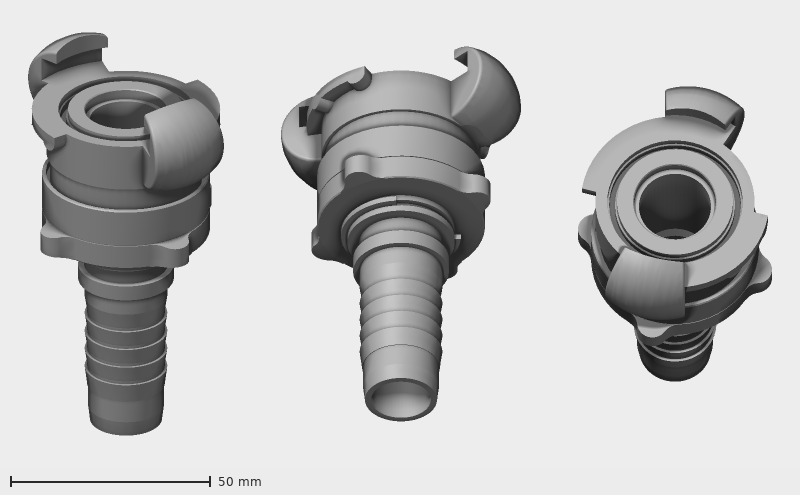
import cadquery as cq
import math


total_height = 99.1
head_face = 88.2
flange_underside = 85.2
head_bottom = 76.0
collar_top = 70.3
collar_bottom = 60.6
nut_top = 60.3
nut_bottom = 54.0
clip_groove_top = 52.5
clip_groove_bottom = 50.8
tail_flange_bottom = 49.1
stop_top = 44.1
stop_bottom = 40.1
barbs_top = 35.2
plain_end_top = 10.0
tip_top = 4.1

head_radius = 19.9
neck_radius = 38.0 / 2
collar_radius = 21.0
collar_joint_radius = 20.7
collar_recess_radius = 20.0
collar_recess_depth = 2.0
edge_chamfer = 0.3
tail_flange_radius = 26.8 / 2
groove_radius = 24.0 / 2
shank_radius = 21.0 / 2
stop_radius = 24.0 / 2
barb_radius = 20.7 / 2
barb_root_radius = 19.4 / 2
plain_end_radius = 19.0 / 2
tip_radius = 18.0 / 2

barb_count = 5
barb_pitch = (barbs_top - plain_end_top) / barb_count
barb_gap = 0.8

bore_radius = 15.0 / 2
upper_bore_radius = 18.0 / 2
seal_mouth_radius = 21.0 / 2
seal_bore_radius = 20.5 / 2
seal_bore_depth = 2.8
bore_cone_top = 52.5
bore_cone_bottom = 51.6

groove_mouth_radius = 33.9 / 2
groove_outer_radius = 33.0 / 2
seal_lip_radius = 29.0 / 2
seal_body_radius = 30.0 / 2
seal_step_depth = 2.0
seal_groove_depth = 4.0

lug_count = 4
lug_tip_reach = 50.0 / 2
lug_radius = 3.9
lug_blend_radius = 4.5
lug_slope = 0.6

clip_radius = 30.0 / 2
clip_thickness = 1.4
clip_gap_start = 114
clip_gap_end = 213

flange_radius = 23.6
bump_radius = 2.6
bump_center_height = 86.3
bump_pitch_angle = 35

claw_reach = 62.9 / 2
claw_radius = 11.8
claw_center_x = claw_reach - claw_radius
claw_crown_radius = 20.1
claw_half_width = 7.7
claw_width_start = 19.4
claw_side_slope = 0.3
claw_edge_fillet = 0.8
claw_lip_radius = 21.0
claw_center_z = total_height - math.sqrt(claw_radius**2 - (claw_lip_radius - claw_center_x) ** 2)
claw_slot_radius = 25.8
claw_slot_top = 94.5
claw_root_radius = 17.8


def cylinder(radius, bottom, top):
    return cq.Workplane("XY").workplane(offset=bottom).circle(radius).extrude(top - bottom)


def ring(outer, inner, bottom, top):
    return cylinder(outer, bottom, top).cut(cylinder(inner, bottom, top))


def revolved(points):
    return cq.Workplane("XZ").polyline(points).close().revolve(360, (0, 0), (0, 1))


def make_body():
    """Turned outside of the coupling, from the hose tip up to the head face."""
    points = [(0, 0), (tip_radius, 0), (plain_end_radius, tip_top), (plain_end_radius, plain_end_top)]
    for barb in range(barb_count):
        root = plain_end_top + barb * barb_pitch
        crest = root + barb_pitch
        points.append((barb_root_radius, root))
        if barb > 0:
            points.append((barb_root_radius, root + barb_gap))
        points.append((barb_radius, crest))
    points += [
        (barb_radius, stop_bottom),
        (stop_radius, stop_bottom),
        (stop_radius, stop_top),
        (shank_radius, stop_top),
        (shank_radius, tail_flange_bottom),
        (tail_flange_radius, tail_flange_bottom),
        (tail_flange_radius, clip_groove_bottom),
        (groove_radius, clip_groove_bottom),
        (groove_radius, clip_groove_top),
        (tail_flange_radius, clip_groove_top),
        (tail_flange_radius, nut_bottom),
        (collar_radius - edge_chamfer, nut_bottom),
        (collar_radius, nut_bottom + edge_chamfer),
        (collar_radius, nut_top),
        (collar_joint_radius, nut_top),
        (collar_joint_radius, collar_bottom),
        (collar_radius, collar_bottom),
        (collar_radius, collar_top - edge_chamfer),
        (collar_radius - edge_chamfer, collar_top),
        (collar_recess_radius, collar_top),
        (collar_recess_radius, collar_top - collar_recess_depth),
        (neck_radius, collar_top - collar_recess_depth),
        (neck_radius, head_bottom),
        (head_radius, head_bottom),
        (head_radius, head_face),
        (0, head_face),
    ]
    return revolved(points)


def make_lug():
    """Rounded lug at -Y, blended into the nut by hollow arcs and thinned towards its tip."""
    lug_center = lug_tip_reach - lug_radius
    blend_to_axis = collar_radius + lug_blend_radius
    blend_to_lug = lug_radius + lug_blend_radius
    blend_y = (blend_to_axis**2 - blend_to_lug**2 + lug_center**2) / (2 * lug_center)
    blend_x = math.sqrt(blend_to_axis**2 - blend_y**2)
    tip_share = lug_radius / blend_to_lug
    tip_x = blend_x * tip_share
    tip_y = lug_center + (blend_y - lug_center) * tip_share
    foot_x = blend_x * collar_radius / blend_to_axis
    foot_y = blend_y * collar_radius / blend_to_axis
    middle_x = (tip_x + foot_x) / 2 - blend_x
    middle_y = (tip_y + foot_y) / 2 - blend_y
    stretch = lug_blend_radius / math.hypot(middle_x, middle_y)
    hollow_x = blend_x + middle_x * stretch
    hollow_y = blend_y + middle_y * stretch
    outline = (
        cq.Workplane("XY")
        .workplane(offset=nut_bottom)
        .moveTo(0, -tail_flange_radius)
        .lineTo(foot_x, -foot_y)
        .threePointArc((hollow_x, -hollow_y), (tip_x, -tip_y))
        .threePointArc((0, -lug_tip_reach), (-tip_x, -tip_y))
        .threePointArc((-hollow_x, -hollow_y), (-foot_x, -foot_y))
        .close()
        .extrude(nut_top - nut_bottom)
    )
    thinned = revolved([
        (0, nut_bottom),
        (collar_joint_radius, nut_bottom),
        (lug_tip_reach, nut_bottom + lug_slope),
        (lug_tip_reach, nut_top - lug_slope),
        (collar_joint_radius, nut_top),
        (0, nut_top),
    ])
    return outline.intersect(thinned)


def make_clip():
    """Open retaining ring seated against the upper wall of its groove."""
    bottom = clip_groove_top - clip_thickness
    clip = ring(clip_radius, groove_radius, bottom, clip_groove_top)
    gap_corners = [(0, 0)]
    reach = 2 * clip_radius
    for degrees in (clip_gap_start, (clip_gap_start + clip_gap_end) / 2, clip_gap_end):
        angle = math.radians(degrees)
        gap_corners.append((reach * math.cos(angle), reach * math.sin(angle)))
    gap = cq.Workplane("XY").workplane(offset=bottom).polyline(gap_corners).close().extrude(clip_thickness)
    return clip.cut(gap)


def make_flange():
    """Locking flange over the -X, -Y quarter, with a rounded end and two radial bumps below."""
    quarter = (
        cq.Workplane("XY")
        .box(lug_tip_reach, lug_tip_reach, head_face - flange_underside, centered=False)
        .translate((-lug_tip_reach, -lug_tip_reach, flange_underside))
    )
    end_block = (
        cq.Workplane("XY")
        .box(2 * bump_radius, lug_tip_reach, head_face - bump_center_height, centered=(True, False, False))
        .translate((0, -lug_tip_reach, bump_center_height))
    )
    bump = cq.Workplane("XZ").center(0, bump_center_height).circle(bump_radius).extrude(lug_tip_reach)
    second_bump = bump.rotate((0, 0, 0), (0, 0, 1), -bump_pitch_angle)
    sector = quarter.union(end_block).union(bump).union(second_bump)
    lowest = bump_center_height - bump_radius
    return sector.intersect(ring(flange_radius, claw_root_radius, lowest, head_face))


def make_claw():
    """Barrel-shaped hook at +X with slanted sides and a slot below its lip."""
    end_width = claw_half_width + claw_side_slope * (claw_reach - claw_width_start)
    axis_width = claw_half_width - claw_side_slope * claw_width_start
    rim_radius = claw_radius - claw_crown_radius + math.sqrt(claw_crown_radius**2 - end_width**2)
    barrel = (
        cq.Workplane("XY")
        .moveTo(0, -end_width)
        .lineTo(-rim_radius, -end_width)
        .threePointArc((-claw_radius, 0), (-rim_radius, end_width))
        .lineTo(0, end_width)
        .close()
        .revolve(360, (0, 0), (0, 1))
        .translate((claw_center_x, 0, claw_center_z))
    )
    wedge = (
        cq.Workplane("XY")
        .polyline([(0, -axis_width), (claw_reach, -end_width), (claw_reach, end_width), (0, axis_width)])
        .close()
        .extrude(total_height)
    )
    claw = barrel.intersect(wedge).edges("%BSPLINE").fillet(claw_edge_fillet)
    claw = claw.cut(cylinder(claw_reach, 0, head_bottom))
    claw = claw.cut(cylinder(claw_root_radius, 0, head_face))
    claw = claw.cut(cylinder(claw_lip_radius, head_face, total_height))
    return claw.cut(cylinder(claw_slot_radius, head_face, claw_slot_top))


def make_bore():
    """Stepped bore from the seal mouth down through the hose tip."""
    seal_bore_bottom = head_face - seal_bore_depth
    mouth_bottom = head_face - (seal_mouth_radius - seal_bore_radius)
    return revolved([
        (0, 0),
        (bore_radius, 0),
        (bore_radius, bore_cone_bottom),
        (upper_bore_radius, bore_cone_top),
        (upper_bore_radius, seal_bore_bottom),
        (seal_bore_radius, seal_bore_bottom),
        (seal_bore_radius, mouth_bottom),
        (seal_mouth_radius, head_face),
        (0, head_face),
    ])


def make_seal_groove():
    """Stepped ring groove that leaves the seal standing level with the head face."""
    step = head_face - seal_step_depth
    upper = ring(groove_mouth_radius, seal_lip_radius, step, head_face)
    lower = ring(groove_outer_radius, seal_body_radius, head_face - seal_groove_depth, step)
    return upper.union(lower)


def turned(shape, angle):
    return shape.rotate((0, 0, 0), (0, 0, 1), angle)


coupling = make_body().union(make_clip())
lug = make_lug()
for index in range(lug_count):
    coupling = coupling.union(turned(lug, index * 360 / lug_count))
flange = make_flange()
claw = make_claw()
for angle in (0, 180):
    coupling = coupling.union(turned(flange, angle)).union(turned(claw, angle))
result = coupling.cut(make_bore()).cut(make_seal_groove())